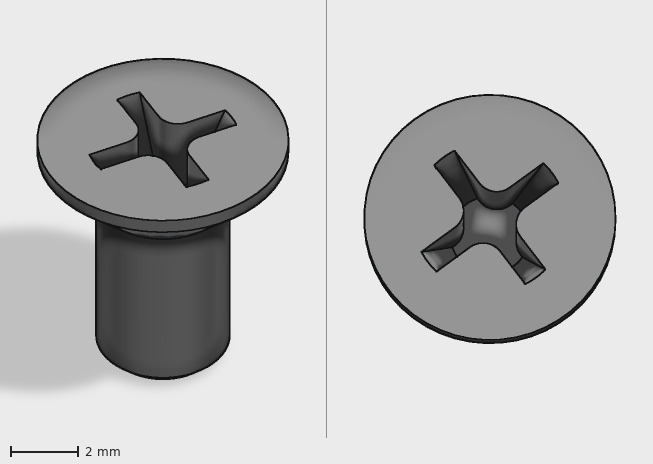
import cadquery as cq

head_diameter = 7.5
rim_height = 0.45
shank_diameter = 4.0
total_length = 8.0
tip_chamfer = 0.4

recess_depth = 2.4
slot_width = 0.75
recess_top_diameter = 4.6
recess_floor_diameter = 2.36
corner_radius = 0.65

head_radius = head_diameter / 2
shank_radius = shank_diameter / 2
cone_height = head_radius - shank_radius
cone_top_z = total_length - rim_height
cone_bottom_z = cone_top_z - cone_height


def screw_body():
    """Solid of revolution: chamfered shank, countersunk cone and straight rim."""
    return (
        cq.Workplane("XZ")
        .moveTo(0, 0)
        .lineTo(shank_radius - tip_chamfer, 0)
        .lineTo(shank_radius, tip_chamfer)
        .lineTo(shank_radius, cone_bottom_z)
        .lineTo(head_radius, cone_top_z)
        .lineTo(head_radius, total_length)
        .lineTo(0, total_length)
        .close()
        .revolve(360, (0, 0, 0), (0, 1, 0))
    )


def cross_recess():
    """Cross with rounded inner corners, its arm ends tapering along a cone."""
    floor_z = total_length - recess_depth
    arm = (
        cq.Workplane("XY")
        .workplane(offset=floor_z)
        .rect(recess_top_diameter, slot_width)
        .extrude(recess_depth)
    )
    cross = arm.union(arm.rotate((0, 0, 0), (0, 0, 1), 90))
    inner_corners = cq.selectors.BoxSelector(
        (-slot_width, -slot_width, floor_z),
        (slot_width, slot_width, total_length),
    )
    cross = cross.edges("|Z").edges(inner_corners).fillet(corner_radius)
    taper_cone = cq.Solid.makeCone(
        recess_floor_diameter / 2,
        recess_top_diameter / 2,
        recess_depth,
        pnt=cq.Vector(0, 0, floor_z),
    )
    return cross.intersect(cq.Workplane(taper_cone))


result = screw_body().cut(cross_recess())